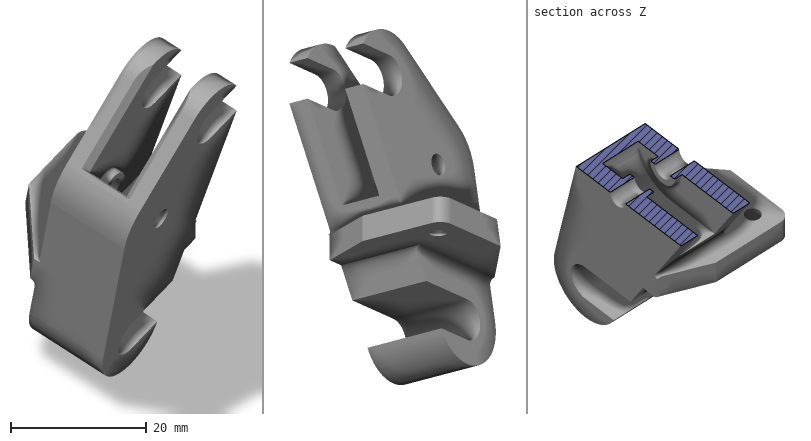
import cadquery as cq
import math

overall_height = 47.0
body_width = 13.8
hook_radius = 7.0
slot_radius = 3.2
lower_hook = (0.0, hook_radius)
upper_hook = (19.05, overall_height - hook_radius)
pivot = (7.05, 29.35)
pivot_radius = 8.98
pivot_hole_radius = 1.65

gap_width = 7.0
cavity_radius = 7.0
lip_offset = 0.75
gap_chamfer = 1.0
boss_radius = 2.7
boss_height = 1.45

flange_reach = 9.95
flange_thickness = 4.0
flange_top = 18.95
flange_back = 19.0
flange_side_front = 5.75
flange_taper_start = 5.0
flange_taper_end = 15.4
flange_corner_radius = 1.97
flange_hole = (-6.0, 15.0)
flange_hole_radius = 1.3
root_fillet = 1.0
back_fillet = 0.45

clearance = 28.2

flange_bottom = flange_top - flange_thickness
gap_start = (body_width - gap_width) / 2
gap_end = gap_start + gap_width


def offset(point, direction, distance):
    return (point[0] + direction[0] * distance, point[1] + direction[1] * distance)


def front_normal(start, start_radius, end, end_radius):
    """Unit normal of the line touching two circles on their -Y side."""
    dy = end[0] - start[0]
    dz = end[1] - start[1]
    angle = math.atan2(dz, dy) + math.acos((start_radius - end_radius) / math.hypot(dy, dz))
    return (math.cos(angle), math.sin(angle))


def extrude_x(outline, x_start, x_end):
    return outline.extrude(x_end - x_start).translate((x_start, 0, 0))


def cylinder_x(center, radius, x_start, x_end):
    return extrude_x(cq.Workplane("YZ").center(*center).circle(radius), x_start, x_end)


lower_normal = front_normal(lower_hook, hook_radius, pivot, pivot_radius)
upper_normal = front_normal(pivot, pivot_radius, upper_hook, hook_radius)
upper_slope = (upper_normal[1], -upper_normal[0])

tip_reach = math.sqrt(hook_radius**2 - slot_radius**2)
back_top = (upper_hook[0] + tip_reach, upper_hook[1] - slot_radius)
back_slope = (upper_hook[0] - lower_hook[0]) / (upper_hook[1] - lower_hook[1])


def back_y(z):
    """Y of the sloping back face at height z."""
    return back_top[0] - (back_top[1] - z) * back_slope


def front_y(z):
    """Y of the sloping front face at height z."""
    touch = offset(lower_hook, lower_normal, hook_radius)
    return touch[0] - (z - touch[1]) * lower_normal[1] / lower_normal[0]


def link(x_start, x_end):
    """Solid link with two open hooks, between two X positions."""
    normal_sum = (lower_normal[0] + upper_normal[0], lower_normal[1] + upper_normal[1])
    pivot_middle = offset(pivot, normal_sum, pivot_radius / math.hypot(*normal_sum))
    lower_y, lower_z = lower_hook
    upper_y, upper_z = upper_hook
    slot_ceiling = lower_z + slot_radius
    outline = (
        cq.Workplane("YZ")
        .moveTo(*back_top)
        .lineTo(upper_y, upper_z - slot_radius)
        .threePointArc((upper_y - slot_radius, upper_z), (upper_y, upper_z + slot_radius))
        .lineTo(upper_y + tip_reach, upper_z + slot_radius)
        .threePointArc((upper_y, upper_z + hook_radius), offset(upper_hook, upper_normal, hook_radius))
        .lineTo(*offset(pivot, upper_normal, pivot_radius))
        .threePointArc(pivot_middle, offset(pivot, lower_normal, pivot_radius))
        .lineTo(*offset(lower_hook, lower_normal, hook_radius))
        .threePointArc((lower_y, lower_z - hook_radius), (lower_y + tip_reach, lower_z - slot_radius))
        .lineTo(lower_y, lower_z - slot_radius)
        .threePointArc((lower_y - slot_radius, lower_z), (lower_y, slot_ceiling))
        .lineTo(back_y(slot_ceiling), slot_ceiling)
        .close()
    )
    return extrude_x(outline, x_start, x_end)


def cavity():
    """Space between the arms: flat floor, round end about the pivot, wall square to the upper face."""
    floor_z = pivot[1] - cavity_radius
    lip_base = offset(pivot, upper_slope, lip_offset)
    lip_foot = offset(lip_base, upper_normal, math.sqrt(cavity_radius**2 - lip_offset**2))
    outline = (
        cq.Workplane("YZ")
        .moveTo(pivot[0], floor_z)
        .lineTo(pivot[0] + clearance, floor_z)
        .lineTo(pivot[0] + clearance, floor_z + 2 * clearance)
        .lineTo(*offset(lip_foot, upper_normal, clearance))
        .lineTo(*lip_foot)
        .threePointArc((pivot[0] - cavity_radius, pivot[1]), (pivot[0], floor_z))
        .close()
    )
    return extrude_x(outline, gap_start, gap_end)


def gap_bevel():
    """Bevel on the inner arm edges, cut to an even depth below the flat upper face."""
    lip = offset(offset(pivot, upper_normal, pivot_radius), upper_slope, lip_offset)
    section = cq.Plane(origin=(body_width / 2, *lip), xDir=(-1, 0, 0), normal=(0, *upper_slope))
    half_gap = gap_width / 2
    return (
        cq.Workplane(section)
        .polyline([
            (-half_gap - gap_chamfer, 0),
            (half_gap + gap_chamfer, 0),
            (half_gap, -gap_chamfer),
            (-half_gap, -gap_chamfer),
        ])
        .close()
        .extrude(clearance)
    )


def flange():
    """Drilled side flange whose front slants like the front face of the link."""
    plan = (
        cq.Workplane("XY", origin=(0, 0, flange_bottom))
        .polyline([
            (-flange_reach, flange_back),
            (-flange_reach, -clearance),
            (body_width, -clearance),
            (body_width, flange_taper_end),
            (flange_taper_start, flange_back),
        ])
        .close()
        .extrude(flange_thickness)
        .edges("|Z")
        .edges("<X")
        .edges(">Y")
        .fillet(flange_corner_radius)
    )
    lean = front_y(flange_top) - front_y(flange_bottom)
    front_limit = cq.Wire.makePolygon([
        cq.Vector(-flange_reach, clearance, flange_bottom),
        cq.Vector(-flange_reach, flange_side_front - lean, flange_bottom),
        cq.Vector(-root_fillet, front_y(flange_bottom), flange_bottom),
        cq.Vector(body_width, front_y(flange_bottom), flange_bottom),
        cq.Vector(body_width, clearance, flange_bottom),
    ], close=True)
    slanted = cq.Solid.extrudeLinear(front_limit, [], cq.Vector(0, lean, flange_thickness))
    plate = plan.intersect(cq.Workplane(slanted))
    hole = (
        cq.Workplane("XY", origin=(*flange_hole, flange_bottom))
        .circle(flange_hole_radius)
        .extrude(flange_thickness)
    )
    return plate.cut(hole)


def lower_root():
    """Concave fillet under the flange, along the side of the link."""
    fillet_bottom = flange_bottom - root_fillet
    strip = (
        cq.Workplane("XZ", origin=(0, clearance, 0))
        .moveTo(0, fillet_bottom)
        .radiusArc((-root_fillet, flange_bottom), -root_fillet)
        .lineTo(0, flange_bottom)
        .close()
        .extrude(2 * clearance)
    )
    return link(-root_fillet, 0).intersect(strip)


def back_root():
    """Concave fillet between the flange top and the back face of the link."""
    lean = math.atan(back_slope)
    tangent_length = back_fillet / math.tan((math.pi / 2 - lean) / 2)
    corner = (back_y(flange_top), flange_top)
    on_flange = (corner[0] + tangent_length, flange_top)
    on_back = offset(corner, (math.sin(lean), math.cos(lean)), tangent_length)
    outline = cq.Workplane("YZ").polyline([corner, on_flange, on_back]).close()
    round_center = (on_flange[0], flange_top + back_fillet)
    return extrude_x(outline, 0, body_width).cut(cylinder_x(round_center, back_fillet, 0, body_width))


result = link(0, body_width).cut(cavity()).cut(gap_bevel())
result = result.union(cylinder_x(pivot, boss_radius, gap_start, gap_start + boss_height))
result = result.union(cylinder_x(pivot, boss_radius, gap_end - boss_height, gap_end))
result = result.cut(cylinder_x(pivot, pivot_hole_radius, 0, body_width))
result = result.union(flange()).union(lower_root()).union(back_root())